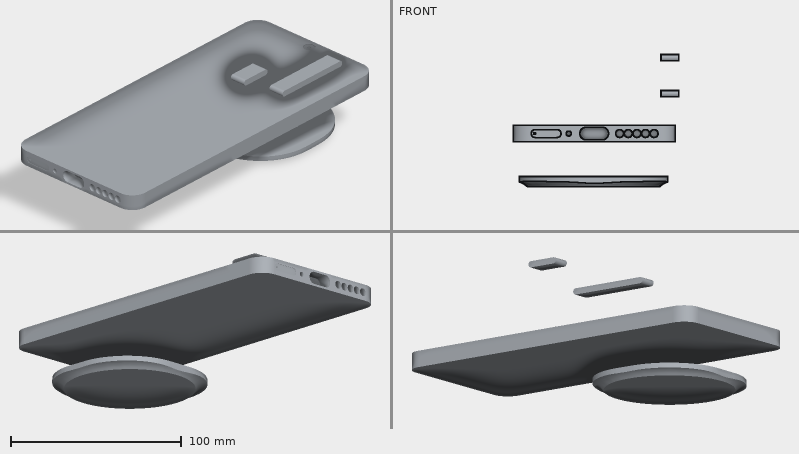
import cadquery as cq
import math

phone_width = 95.0
phone_length = 210.0
phone_thickness = 9.9
phone_corner_radius = 10.0
phone_front_y = -phone_length / 2
phone_top_z = phone_thickness / 2
phone_bottom_z = -phone_thickness / 2

selfie_edge_distance = 6.3
selfie_diameter = 7.4
selfie_depth = 0.5
lens_diameter = 2.3
lens_depth = 0.2

port_width = 16.8
port_height = 7.4
port_depth = 8.5
speaker_count = 5
speaker_diameter = 4.6
speaker_pitch = 5.0
speaker_row_x = 25.0
speaker_depth = 4.2
microphone_x = -15.0
microphone_diameter = 3.0
microphone_depth = 4.2

tray_x = -28.1
tray_width = 17.5
tray_height = 4.6
tray_depth = 0.2
pinhole_x = -34.9
pinhole_diameter = 1.0
pinhole_depth = 4.2

button_width = 10.5
button_thickness = 3.8
button_overhang = 2.0
button_outer_x = phone_width / 2 + button_overhang
volume_length = 51.7
volume_y = 47.7
volume_gap = 16.5
power_length = 20.4
power_y = -1.3
power_lift = 21.0
volume_z = phone_top_z + volume_gap + button_thickness / 2
power_z = volume_z + power_lift

housing_width = 87.0
housing_length = 82.7
housing_corner_radius = 35.0
housing_thickness = 6.0
housing_x = -0.5
housing_y = 54.4
housing_turn = 1.2
housing_gap = 20.2
housing_bottom_z = phone_bottom_z - housing_gap - housing_thickness
cove_radius = 10.0
cove_height = 3.2
cove_rim_radius = 46.0
cove_reach = math.sqrt(cove_radius**2 - (cove_radius - cove_height) ** 2)
housing_face_radius = cove_rim_radius - cove_reach


def end_face(x):
    """Sketch plane on the -Y end face, its normal pointing into the slab."""
    return cq.Workplane(cq.Plane(origin=(x, phone_front_y, 0), xDir=(1, 0, 0), normal=(0, 1, 0)))


def end_hole(x, diameter, depth):
    return end_face(x).circle(diameter / 2).extrude(depth)


def end_slot(x, width, height, depth):
    return end_face(x).slot2D(width, height).extrude(depth)


def make_phone():
    phone = (
        cq.Workplane("XY")
        .box(phone_width, phone_length, phone_thickness)
        .edges("|Z")
        .fillet(phone_corner_radius)
    )

    selfie_y = phone_length / 2 - selfie_edge_distance
    phone = (
        phone.faces(">Z")
        .workplane(origin=(0, selfie_y, phone_top_z))
        .cboreHole(lens_diameter, selfie_diameter, selfie_depth, selfie_depth + lens_depth)
    )

    phone = phone.cut(end_slot(0, port_width, port_height, port_depth))
    phone = phone.cut(end_hole(microphone_x, microphone_diameter, microphone_depth))

    for index in range(speaker_count):
        speaker_x = speaker_row_x + (index - (speaker_count - 1) / 2) * speaker_pitch
        phone = phone.cut(end_hole(speaker_x, speaker_diameter, speaker_depth))

    phone = phone.cut(end_slot(tray_x, tray_width, tray_height, tray_depth))
    return phone.cut(end_hole(pinhole_x, pinhole_diameter, pinhole_depth))


def make_button(length, y, z):
    """Bar along Y with fully rounded ends, its outer side flush with the button overhang."""
    return (
        cq.Workplane("YZ", origin=(button_outer_x - button_width, y, z))
        .slot2D(length, button_thickness)
        .extrude(button_width)
    )


def make_camera_housing():
    plate = (
        cq.Workplane("XY")
        .rect(housing_width, housing_length)
        .extrude(housing_thickness)
        .edges("|Z")
        .fillet(housing_corner_radius)
        .rotate((0, 0, 0), (0, 0, 1), housing_turn)
    )
    envelope = (
        cq.Workplane("XZ")
        .moveTo(0, 0)
        .lineTo(housing_face_radius, 0)
        .radiusArc((cove_rim_radius, cove_height), cove_radius)
        .lineTo(cove_rim_radius, housing_thickness)
        .lineTo(0, housing_thickness)
        .close()
        .revolve(360, (0, 0, 0), (0, 1, 0))
    )
    return plate.intersect(envelope).translate((housing_x, housing_y, housing_bottom_z))


phone = make_phone()
volume_button = make_button(volume_length, volume_y, volume_z)
power_button = make_button(power_length, power_y, power_z)
camera_housing = make_camera_housing()

result = cq.Compound.makeCompound(
    [phone.val(), volume_button.val(), power_button.val(), camera_housing.val()]
)